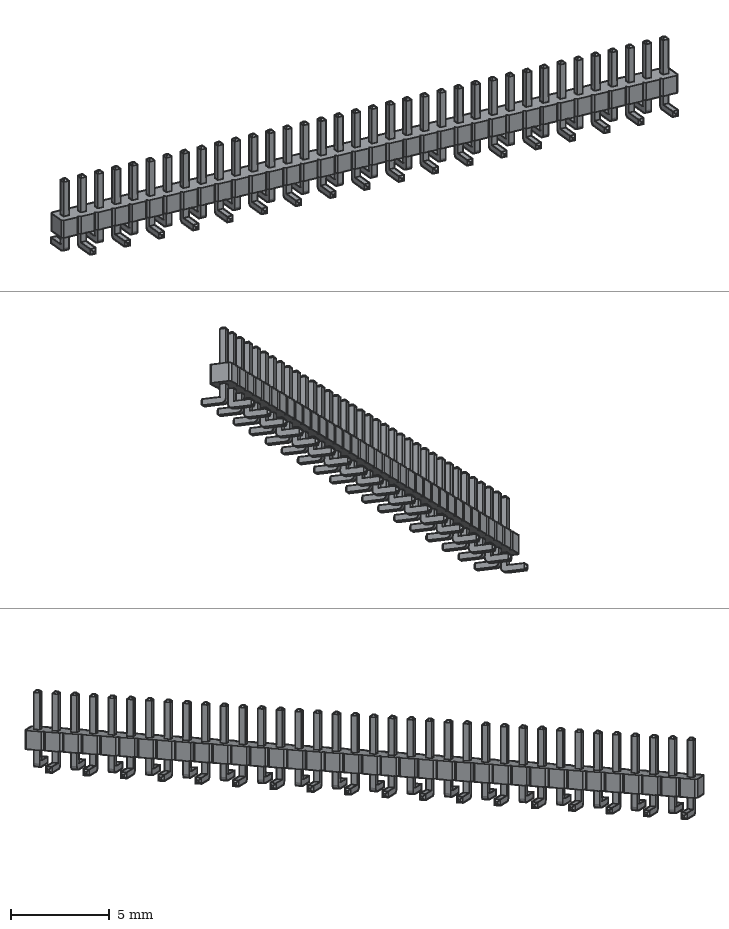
import cadquery as cq

pin_count = 36
row_length = 36.0
pitch = row_length / pin_count

body_width = 1.2
body_height = 0.97
body_bottom = 1.0
corner_cut_x = 0.1
corner_cut_y = 0.1

pin_size = 0.32
pin_top = 4.0
foot_span = 2.5
bend_radius = 0.2
tip_length = 0.1
tip_size = 0.1

foot_reach = foot_span / 2


def make_body_cell():
    """One insulator cell: a block with its four upright corners chamfered."""
    half_x = body_width / 2
    half_y = pitch / 2
    outline = [
        (half_x, half_y - corner_cut_y),
        (half_x - corner_cut_x, half_y),
        (corner_cut_x - half_x, half_y),
        (-half_x, half_y - corner_cut_y),
        (-half_x, corner_cut_y - half_y),
        (corner_cut_x - half_x, -half_y),
        (half_x - corner_cut_x, -half_y),
        (half_x, corner_cut_y - half_y),
    ]
    return cq.Workplane("XY").workplane(offset=body_bottom).polyline(outline).close().extrude(body_height)


def make_tip(plane):
    """Tapered pin end that grows from the given plane along its normal."""
    return (
        cq.Workplane(plane)
        .rect(pin_size, pin_size)
        .workplane(offset=tip_length)
        .rect(tip_size, tip_size)
        .loft(ruled=True)
    )


def make_pin():
    """L-shaped pin whose foot points toward -X."""
    half = pin_size / 2
    post_end = pin_top - tip_length
    foot_end = foot_reach - tip_length
    wire = (
        cq.Workplane("XZ")
        .moveTo(-half, post_end)
        .lineTo(half, post_end)
        .lineTo(half, bend_radius)
        .radiusArc((half - bend_radius, 0), bend_radius)
        .lineTo(-foot_end, 0)
        .lineTo(-foot_end, pin_size)
        .lineTo(-half, pin_size)
        .close()
        .extrude(half, both=True)
    )
    post_tip = make_tip(cq.Plane(origin=(0, 0, post_end), xDir=(1, 0, 0), normal=(0, 0, 1)))
    foot_tip = make_tip(cq.Plane(origin=(-foot_end, 0, half), xDir=(0, 1, 0), normal=(-1, 0, 0)))
    return wire.union(post_tip).union(foot_tip)


cell = make_body_cell()
left_position = cell.union(make_pin())
right_position = cell.union(make_pin().rotate((0, 0, 0), (0, 0, 1), 180))

positions = []
for index in range(pin_count):
    position = left_position if index % 2 == 0 else right_position
    center_y = (index + 0.5) * pitch - row_length / 2
    positions.append(position.translate((0, center_y, 0)).val())

result = cq.Workplane(positions[0].fuse(*positions[1:])).clean()